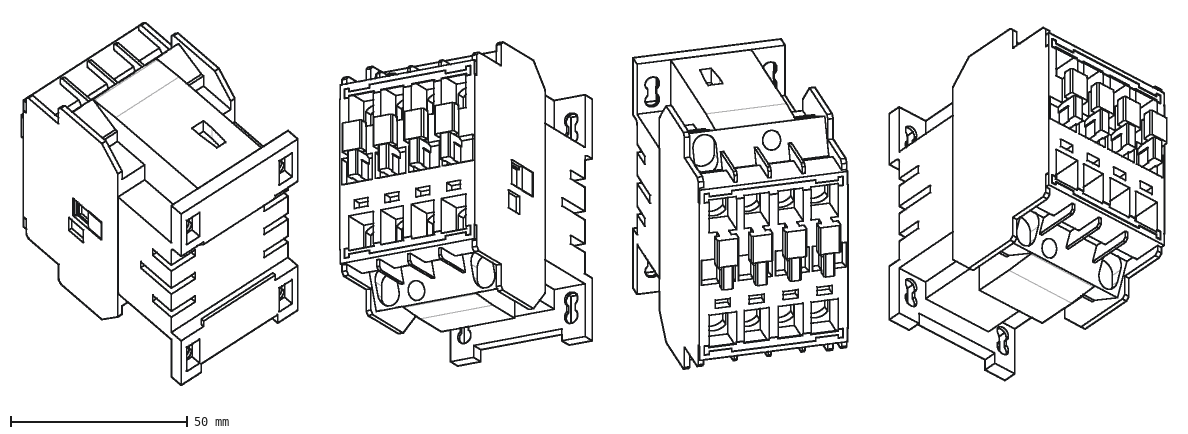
import cadquery as cq
import math

WIDTH = 43.85
HEIGHT = 74.7
LENGTH = 74.0
REAR_WIDTH = WIDTH - 0.15
HALF_WIDTH = WIDTH / 2
HALF_HEIGHT = HEIGHT / 2

HOOK_REACH = 5.6
HOOK_HEAD_DEPTH = 3.0
HOOK_HEAD_WIDTH = 6.35
HOOK_STEM_WIDTH = 3.5
HOOK_TOP = 13.0
HOOK_MIDDLE = 4.5
HOOK_BOTTOM = -2.9
HOOK_EDGE = 0.45
LOWER_HOOK_SETBACK = 0.4
LOWER_HOOK_WIDTH = 3.3
LOWER_STEM_WIDTH = 2.55
LOWER_STEM_TOP = 2.25
LOWER_STEM_DEPTH = 2.4

HOUSING_BACK = 41.1
SHELF_HEIGHT = 26.9
SHELF_RAMP_START = 10.15
MIDDLE_RAMP_START = 10.75
SHELF_RAMP_END = 11.4
SHELF_RAMP_DROP = 1.7
WALL_FOOT = 14.4
WALL_TOP = 18.45
WALL_HEIGHT = 35.8
CROWN_START = 19.05
BACK_RAMP_END = 28.4
BACK_RAMP_HEIGHT = 31.15
BACK_LEDGE = 0.9
CORE_HALF_HEIGHT = 36.3
CORE_WIDTH = 23.75

PLATE_THICKNESS = 1.6
PLATE_FRONT = 1.3
PLATE_NOSE_HALF_HEIGHT = 29.9
PLATE_STEP = 15.3
PLATE_CORNER = 1.05
PLATE_BEVEL = 6.95

FIN_THICKNESS = 0.9
FIN_FRONT = 2.2
FIN_CORNER = 0.9
FIN_PITCH = 10.0
FIN_MIDDLE_Y = 0.6

TERMINAL_PITCH = 10.0
ROW_STEPS = (-1.5, -0.5, 0.5, 1.5)
TERMINAL_ROW_Y = [TERMINAL_PITCH * step for step in ROW_STEPS]
OUTER_WINDOW_WIDTH = 8.1
INNER_WINDOW_WIDTH = 7.3
WINDOW_HEIGHT = 10.3
WINDOW_DEPTH = 9.0
WINDOW_LIP = 0.75
WINDOW_UNDERCUT = 0.9
WINDOW_CENTRE_Z = HOOK_TOP + WINDOW_HEIGHT / 2
SCREW_DIAMETER = 9.0
SCREW_FLATS = 6.9
SCREW_DEPTH = 3.0
LABEL_WIDTH = 4.5
LABEL_HEIGHT = 2.55
LABEL_Z = -9.8
LABEL_DEPTH = 3.0
HOOK_POCKET_WIDTH = 9.9
HOOK_POCKET_PITCH = 10.9
HOOK_POCKET_HEIGHT = 7.8
HOOK_POCKET_Z = 0.7
HOOK_POCKET_DEPTH = 1.9
HOOK_POCKET_DRAFT = 18.0

BAND_INNER_Z = 22.6
BAND_OUTER_Z = 25.4
BAND_WIDTH = 40.9
BAND_DEPTH = 0.2
BAND_TAB_WIDTH = 6.65
BAND_TAB_HEIGHT = 1.0
BAND_TAB_Y = 15.7
TAB_INSET = 0.15

ACCESS_WIDTH = 6.9
ACCESS_Y = 15.55
ACCESS_TOP = 34.95
ACCESS_BOTTOM = 24.65
ACCESS_BACK = 19.05
BORE_DIAMETER = 5.2
BORE_BACK = 29.9
UPPER_BORE_Y = -4.2
UPPER_BORE_Z = 31.2
LOWER_BORE_Y = 6.6
LOWER_BORE_Z = -32.3

REAR_FACE = 64.2
FLANGE_BACK = LENGTH - HOOK_REACH
FLANGE_THICKNESS = FLANGE_BACK - REAR_FACE
BODY_HALF_HEIGHT = 20.55
LOWER_CORE_BOTTOM = -26.45
UPPER_FLANGE_BOTTOM = 18.4
FLANGE_FILLET = 1.3
FLANGE_HALF_HEIGHT = 36.4
LOWER_FLANGE_TOP = -17.5
FOOT_WIDTH = 7.55
FOOT_HEIGHT = 3.6
RAIL_WIDTH = 26.9
WEDGE_TOP = 17.3
WEDGE_BOTTOM = 13.1
LIP_THICKNESS = 1.05
LIP_HEIGHT = 2.25
VENT_HEIGHT = 2.55
VENT_DEPTH = 9.0
VENTS = [(56.0, 9.8), (50.9, 0.0), (56.0, -9.8)]
KEYHOLE_Y = 17.3
KEYHOLE_OUTER_Z = 29.5
KEYHOLE_INNER_Z = 24.35
KEYHOLE_DIAMETER = 4.2
KEYHOLE_NECK = 2.7
KEYHOLE_LIP = 1.0
KEYHOLE_CAVITY_WIDTH = 4.8
KEYHOLE_CAVITY_HEIGHT = 10.15

TOP_SLOT_FRONT = 45.65
TOP_SLOT_STEP = 49.3
TOP_SLOT_BACK = 55.9
TOP_SLOT_Y = 4.0
TOP_SLOT_WIDTH = 4.3
TOP_SLOT_END_WIDTH = 3.3
TOP_SLOT_DEPTH = 4.5

SIDE_WINDOW_FRONT = 21.6
SIDE_WINDOW_SPLIT = 27.95
SIDE_WINDOW_BACK = 33.9
SIDE_WINDOW_TOP = 3.5
SIDE_WINDOW_BOTTOM = -3.7
SIDE_WINDOW_DEPTH = 1.95
SIDE_WINDOW_RIM = 0.75
SIDE_WINDOW_STEP_DEPTH = 0.6
SIDE_WINDOW_RIM_DEPTH = 1.1
SIDE_COVER_INSET = 0.2
LOW_WINDOW_FRONT = 19.8
LOW_WINDOW_BACK = 26.1
LOW_WINDOW_TOP = -6.1
LOW_WINDOW_BOTTOM = -11.5
LOW_WINDOW_DEPTH = 1.1


def block(x0, x1, y0, y1, z0, z1):
    """Box between two opposite corners."""
    return cq.Workplane("XY").box(x1 - x0, y1 - y0, z1 - z0, centered=False).translate((x0, y0, z0))


def centred_block(x0, x1, width, z0, z1):
    """Box of the given Y width, symmetric about Y = 0."""
    return block(x0, x1, -width / 2, width / 2, z0, z1)


def side_profile(points, y0, y1):
    """Outline of (x, z) points extruded from y0 to y1."""
    return cq.Workplane("XZ", origin=(0, y1, 0)).polyline(points).close().extrude(y1 - y0)


def with_mirror_below(points):
    """Close an upper (x, z) outline with its mirror image below Z = 0."""
    return points + [(x, -z) for x, z in reversed(points)]


def face_plane(x, y=0, z=0):
    """Workplane facing +X whose local axes are Y and Z."""
    return cq.Workplane("YZ", origin=(x, y, z))


def make_housing():
    shelf_low = SHELF_HEIGHT - SHELF_RAMP_DROP
    ledge_end = BACK_RAMP_END + BACK_LEDGE
    outer = [
        (0, SHELF_HEIGHT),
        (SHELF_RAMP_START, SHELF_HEIGHT),
        (SHELF_RAMP_END, shelf_low),
        (WALL_FOOT, shelf_low),
        (WALL_TOP, WALL_HEIGHT),
        (BACK_RAMP_END, BACK_RAMP_HEIGHT),
        (ledge_end, BACK_RAMP_HEIGHT),
        (ledge_end, SHELF_HEIGHT),
        (HOUSING_BACK, SHELF_HEIGHT),
    ]
    core = [
        (WALL_TOP, WALL_HEIGHT),
        (CROWN_START, WALL_HEIGHT),
        (BACK_RAMP_END, CORE_HALF_HEIGHT),
        (HOUSING_BACK, CORE_HALF_HEIGHT),
    ]
    housing = side_profile(with_mirror_below(outer), -HALF_WIDTH, HALF_WIDTH)
    return housing.union(side_profile(with_mirror_below(core), -CORE_WIDTH / 2, CORE_WIDTH / 2))


def make_side_plates():
    nose = PLATE_NOSE_HALF_HEIGHT
    outline = [
        (PLATE_FRONT, nose - PLATE_CORNER),
        (PLATE_FRONT + PLATE_CORNER, nose),
        (PLATE_STEP, nose),
        (PLATE_STEP, HALF_HEIGHT - PLATE_CORNER),
        (PLATE_STEP + PLATE_CORNER, HALF_HEIGHT),
        (HOUSING_BACK - PLATE_BEVEL, HALF_HEIGHT),
        (HOUSING_BACK, HALF_HEIGHT - PLATE_BEVEL),
    ]
    plate = side_profile(with_mirror_below(outline), HALF_WIDTH - PLATE_THICKNESS, HALF_WIDTH)
    return plate.union(plate.mirror("XZ"))


def make_fins():
    """Fins above and below the housing, reaching back to the sloping walls."""
    shelf_low = SHELF_HEIGHT - SHELF_RAMP_DROP
    wall_lean = (WALL_TOP - WALL_FOOT) / (WALL_HEIGHT - shelf_low)
    fin_back = WALL_FOOT + wall_lean * (PLATE_NOSE_HALF_HEIGHT - shelf_low)
    fins = cq.Workplane("XY")
    for step in (-1, 0, 1):
        y = FIN_MIDDLE_Y + step * FIN_PITCH
        fin = block(FIN_FRONT, fin_back, y - FIN_THICKNESS / 2, y + FIN_THICKNESS / 2,
                    -PLATE_NOSE_HALF_HEIGHT, PLATE_NOSE_HALF_HEIGHT)
        fins = fins.union(fin.edges("|Y and <X").chamfer(FIN_CORNER))
    return fins


def make_shelf_fillers():
    """Longer shelf in the two bays between the outermost fins."""
    section = [
        (SHELF_RAMP_START, SHELF_HEIGHT),
        (MIDDLE_RAMP_START, SHELF_HEIGHT),
        (SHELF_RAMP_END, SHELF_HEIGHT - SHELF_RAMP_DROP),
    ]
    filler = side_profile(section, FIN_MIDDLE_Y - FIN_PITCH, FIN_MIDDLE_Y + FIN_PITCH)
    return filler.union(filler.mirror("XY"))


def make_hook():
    """T-shaped upper hook with a narrower lower hook hanging under it, centred on Y = 0."""
    head_back = HOOK_HEAD_DEPTH - HOOK_REACH
    lower_front = LOWER_HOOK_SETBACK - HOOK_REACH
    root = HOOK_POCKET_DEPTH
    head = centred_block(-HOOK_REACH, head_back, HOOK_HEAD_WIDTH, HOOK_MIDDLE, HOOK_TOP)
    head = head.edges("|Z and <X").chamfer(HOOK_EDGE)
    stem = centred_block(head_back, root, HOOK_STEM_WIDTH, HOOK_MIDDLE, HOOK_TOP)
    lower = centred_block(lower_front, root, LOWER_HOOK_WIDTH, LOWER_STEM_TOP, HOOK_MIDDLE)
    lower_head = centred_block(lower_front, -LOWER_STEM_DEPTH, LOWER_HOOK_WIDTH, HOOK_BOTTOM, LOWER_STEM_TOP)
    lower_head = lower_head.union(lower).edges("|Z and <X").chamfer(HOOK_EDGE)
    lower_stem = centred_block(-LOWER_STEM_DEPTH, root, LOWER_STEM_WIDTH, HOOK_BOTTOM, LOWER_STEM_TOP)
    return head.union(stem).union(lower_head).union(lower_stem)


def make_hooks():
    hook = make_hook()
    hooks = cq.Workplane("XY")
    for y in TERMINAL_ROW_Y:
        hooks = hooks.union(hook.translate((0, y, 0)))
    return hooks


def terminal_window(y, z):
    """Rectangular opening, undercut behind a thin lip, with a flat-sided screw hole at its bottom."""
    is_outer = abs(y) > TERMINAL_PITCH
    width = OUTER_WINDOW_WIDTH if is_outer else INNER_WINDOW_WIDTH
    window = centred_block(0, WINDOW_DEPTH, width, -WINDOW_HEIGHT / 2, WINDOW_HEIGHT / 2)
    undercut = centred_block(WINDOW_LIP, WINDOW_DEPTH, width, 0, WINDOW_HEIGHT / 2 + WINDOW_UNDERCUT)
    window = window.union(undercut if z > 0 else undercut.mirror("XY"))
    screw = face_plane(WINDOW_DEPTH).circle(SCREW_DIAMETER / 2).extrude(SCREW_DEPTH)
    flats = face_plane(WINDOW_DEPTH).rect(SCREW_FLATS, SCREW_DIAMETER).extrude(SCREW_DEPTH)
    return window.union(screw.intersect(flats)).translate((0, y, z))


def cut_terminals(part):
    for y in TERMINAL_ROW_Y:
        for z in (-WINDOW_CENTRE_Z, WINDOW_CENTRE_Z):
            part = part.cut(terminal_window(y, z))
        part = part.cut(face_plane(0, y, LABEL_Z).rect(LABEL_WIDTH, LABEL_HEIGHT).extrude(LABEL_DEPTH))
    return part


def cut_hook_pockets(part):
    """Drafted pockets in the front face around the lower hooks."""
    for step in ROW_STEPS:
        pocket = (
            face_plane(0, step * HOOK_POCKET_PITCH, HOOK_POCKET_Z)
            .rect(HOOK_POCKET_WIDTH, HOOK_POCKET_HEIGHT)
            .extrude(HOOK_POCKET_DEPTH, taper=HOOK_POCKET_DRAFT)
        )
        part = part.cut(pocket)
    return part


def cut_front_bands(part):
    """Shallow bands in the front face, and the slightly inset side faces of the cover beside them."""
    band = centred_block(0, BAND_DEPTH, BAND_WIDTH, BAND_INNER_Z, BAND_OUTER_Z)
    for side in (-1, 1):
        tab = centred_block(0, BAND_DEPTH, BAND_TAB_WIDTH, BAND_OUTER_Z - BAND_TAB_HEIGHT, BAND_OUTER_Z)
        band = band.cut(tab.translate((0, side * BAND_TAB_Y, 0)))
    inset = block(0, PLATE_FRONT, HALF_WIDTH - TAB_INSET, HALF_WIDTH, BAND_INNER_Z, SHELF_HEIGHT)
    band = band.union(inset).union(inset.mirror("XZ"))
    return part.cut(band).cut(band.mirror("XY"))


def access_slot(y, is_upper):
    """Round-ended slot bored into the foot of a sloping wall."""
    centre_z = (ACCESS_TOP + ACCESS_BOTTOM) / 2
    return (
        face_plane(WALL_FOOT, y, centre_z if is_upper else -centre_z)
        .slot2D(ACCESS_TOP - ACCESS_BOTTOM, ACCESS_WIDTH, 90)
        .extrude(ACCESS_BACK - WALL_FOOT)
    )


def cut_wall_bores(part):
    part = part.cut(access_slot(ACCESS_Y, True))
    for y in (-ACCESS_Y, ACCESS_Y):
        part = part.cut(access_slot(y, False))
    for y, z in ((UPPER_BORE_Y, UPPER_BORE_Z), (LOWER_BORE_Y, LOWER_BORE_Z)):
        part = part.cut(face_plane(WALL_FOOT, y, z).circle(BORE_DIAMETER / 2).extrude(BORE_BACK - WALL_FOOT))
    return part


def make_rear_body():
    body = centred_block(HOUSING_BACK, REAR_FACE, REAR_WIDTH, -BODY_HALF_HEIGHT, BODY_HALF_HEIGHT)
    core = centred_block(HOUSING_BACK, REAR_FACE, CORE_WIDTH, LOWER_CORE_BOTTOM, CORE_HALF_HEIGHT)
    body = body.union(core)
    for front, z in VENTS:
        vent = block(front, REAR_FACE, REAR_WIDTH / 2 - VENT_DEPTH, REAR_WIDTH / 2,
                     z - VENT_HEIGHT / 2, z + VENT_HEIGHT / 2)
        body = body.cut(vent).cut(vent.mirror("XZ"))
    return body


def make_flanges():
    """Upper and lower mounting flange, the lower one on two feet, with the rail wedge and the rail lip."""
    bend = FLANGE_FILLET * (1 - math.sqrt(0.5))
    bottom = UPPER_FLANGE_BOTTOM
    upper = (
        cq.Workplane("XZ", origin=(0, REAR_WIDTH / 2, 0))
        .moveTo(REAR_FACE, FLANGE_HALF_HEIGHT)
        .lineTo(FLANGE_BACK, FLANGE_HALF_HEIGHT)
        .lineTo(FLANGE_BACK, bottom)
        .lineTo(REAR_FACE + FLANGE_FILLET, bottom)
        .threePointArc((REAR_FACE + bend, bottom - bend), (REAR_FACE, bottom - FLANGE_FILLET))
        .close()
        .extrude(REAR_WIDTH)
    )
    wedge = side_profile(
        [(REAR_FACE, bottom), (FLANGE_BACK, bottom), (FLANGE_BACK, WEDGE_TOP), (REAR_FACE, WEDGE_BOTTOM)],
        -RAIL_WIDTH / 2, RAIL_WIDTH / 2,
    )
    lower = centred_block(REAR_FACE, FLANGE_BACK, REAR_WIDTH, -FLANGE_HALF_HEIGHT, LOWER_FLANGE_TOP)
    foot_gap = centred_block(REAR_FACE, FLANGE_BACK, REAR_WIDTH - 2 * FOOT_WIDTH,
                             -FLANGE_HALF_HEIGHT, FOOT_HEIGHT - FLANGE_HALF_HEIGHT)
    lower = lower.cut(foot_gap)
    lip_front = FLANGE_BACK - LIP_THICKNESS
    lip = centred_block(lip_front, FLANGE_BACK, RAIL_WIDTH, LOWER_FLANGE_TOP, LOWER_FLANGE_TOP + LIP_HEIGHT)
    return upper.union(wedge).union(lower).union(lip)


def keyhole():
    """Two round holes joined by a neck, opening into a cavity at the back of the upper flange."""
    centres = [(0, KEYHOLE_INNER_Z), (0, KEYHOLE_OUTER_Z)]
    holes = face_plane(REAR_FACE).pushPoints(centres).circle(KEYHOLE_DIAMETER / 2).extrude(FLANGE_THICKNESS)
    neck = centred_block(REAR_FACE, FLANGE_BACK, KEYHOLE_NECK, KEYHOLE_INNER_Z, KEYHOLE_OUTER_Z)
    cavity_depth = FLANGE_THICKNESS - KEYHOLE_LIP
    cavity = (
        face_plane(REAR_FACE + KEYHOLE_LIP, 0, (KEYHOLE_INNER_Z + KEYHOLE_OUTER_Z) / 2)
        .rect(KEYHOLE_CAVITY_WIDTH, KEYHOLE_CAVITY_HEIGHT)
        .extrude(cavity_depth)
    )
    return holes.union(neck).union(cavity)


def cut_keyholes(part):
    for y in (-KEYHOLE_Y, KEYHOLE_Y):
        hole = keyhole().translate((0, y, 0))
        part = part.cut(hole).cut(hole.mirror("XY"))
    return part


def cut_top_slot(part):
    half = TOP_SLOT_WIDTH / 2
    end_half = TOP_SLOT_END_WIDTH / 2
    outline = [
        (TOP_SLOT_FRONT, -half),
        (TOP_SLOT_STEP, -half),
        (TOP_SLOT_BACK, -end_half),
        (TOP_SLOT_BACK, end_half),
        (TOP_SLOT_STEP, half),
        (TOP_SLOT_FRONT, half),
    ]
    top = cq.Workplane("XY", origin=(0, TOP_SLOT_Y, CORE_HALF_HEIGHT))
    return part.cut(top.polyline(outline).close().extrude(-TOP_SLOT_DEPTH))


def side_pocket(x0, x1, z0, z1, depth):
    """Pocket sunk into the -Y side."""
    return block(x0, x1, -HALF_WIDTH, depth - HALF_WIDTH, z0, z1)


def cut_side_windows(part):
    rim_z0 = SIDE_WINDOW_BOTTOM + SIDE_WINDOW_RIM
    rim_z1 = SIDE_WINDOW_TOP - SIDE_WINDOW_RIM
    pockets = [
        side_pocket(SIDE_WINDOW_FRONT, SIDE_WINDOW_SPLIT, SIDE_WINDOW_BOTTOM, SIDE_WINDOW_TOP,
                    SIDE_WINDOW_STEP_DEPTH),
        side_pocket(SIDE_WINDOW_FRONT + SIDE_WINDOW_RIM, SIDE_WINDOW_SPLIT, SIDE_WINDOW_BOTTOM, SIDE_WINDOW_TOP,
                    SIDE_WINDOW_RIM_DEPTH),
        side_pocket(SIDE_WINDOW_FRONT + 2 * SIDE_WINDOW_RIM, SIDE_WINDOW_SPLIT, rim_z0, rim_z1,
                    SIDE_WINDOW_DEPTH),
        side_pocket(SIDE_WINDOW_SPLIT, SIDE_WINDOW_BACK, SIDE_WINDOW_BOTTOM, SIDE_WINDOW_TOP,
                    SIDE_COVER_INSET),
        side_pocket(LOW_WINDOW_FRONT, LOW_WINDOW_BACK, LOW_WINDOW_BOTTOM, LOW_WINDOW_TOP,
                    LOW_WINDOW_DEPTH),
    ]
    for pocket in pockets:
        part = part.cut(pocket)
    return part


part = make_housing().union(make_fins()).union(make_shelf_fillers())
part = cut_wall_bores(part)
part = part.union(make_side_plates())
part = cut_hook_pockets(cut_terminals(part))
part = cut_front_bands(part)
part = part.union(make_hooks())
part = part.union(make_rear_body()).union(make_flanges())
part = cut_keyholes(part)
part = cut_top_slot(part)
result = cut_side_windows(part)